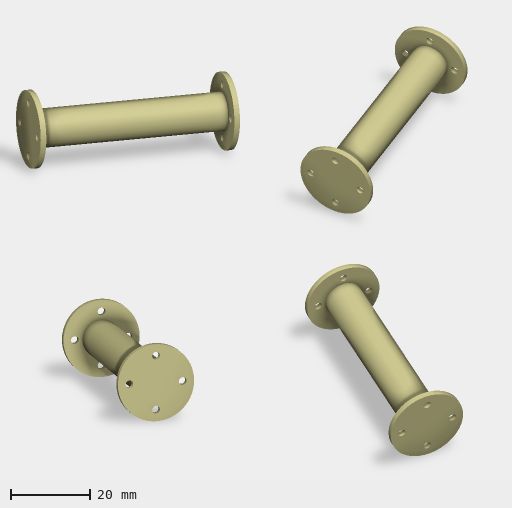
import cadquery as cq

total_length = 53.0
flange_diameter = 20.0
flange_thickness = 1.5
shaft_diameter = flange_diameter / 2
hole_diameter = 2.0
hole_circle_diameter = 14.0
hole_count = 4


def cylinder_along_y(diameter, length, start_y):
    """Solid cylinder that starts at start_y and extends toward +Y."""
    base = cq.Workplane("XZ", origin=(0, start_y, 0))
    return base.circle(diameter / 2).extrude(-length)


def flange(start_y):
    """End disc with evenly spaced through holes."""
    disc = cylinder_along_y(flange_diameter, flange_thickness, start_y)
    holes = (
        cq.Workplane("XZ", origin=(0, start_y, 0))
        .polarArray(hole_circle_diameter / 2, 0, 360, hole_count)
        .circle(hole_diameter / 2)
        .extrude(-flange_thickness)
    )
    return disc.cut(holes)


half_length = total_length / 2
shaft_length = total_length - 2 * flange_thickness
result = cylinder_along_y(shaft_diameter, shaft_length, -shaft_length / 2)
for flange_start in (-half_length, half_length - flange_thickness):
    result = result.union(flange(flange_start))